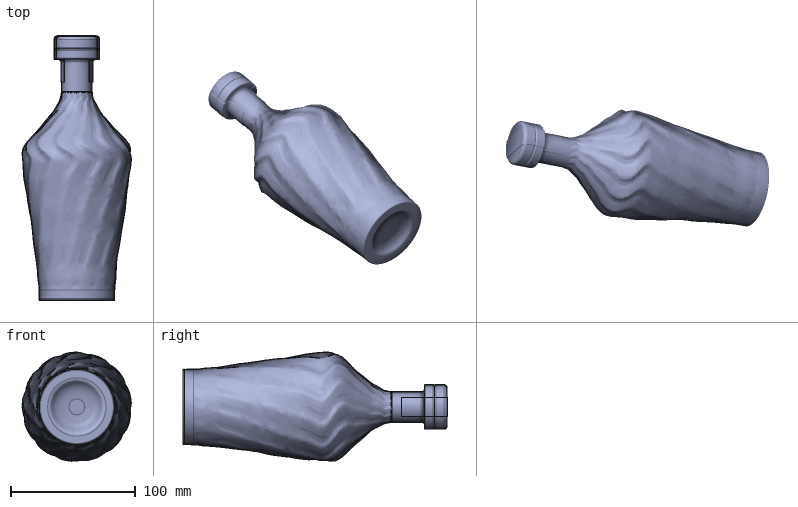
import cadquery as cq
import math


total_length = 212.5
strip_thickness = 0.53

cap_radius = 35.7 / 2
cap_top = total_length - strip_thickness
cap_bottom = 201.8
cap_top_fillet = 2.5
cap_bottom_fillet = 1.3

lip_radius = cap_radius
lip_height = 8.0
lip_top = cap_bottom
lip_bottom = lip_top - lip_height
lip_top_fillet = 1.0
lip_bottom_fillet = 0.8
neck_radius = 12.3
neck_fillet = 2.1
neck_bottom = 167.8

strip_width = 15.0
strip_end = 175.5

join_tolerance = 0.001
flute_count = 13
samples_per_flute = 6
flute_lean = 0.25

foot_radius = 29.3
foot_round_radius = 30.2
foot_round_height = 1.3
foot_top_radius = 30.4
foot_top = 8.5

stations = [
    (foot_top, foot_top_radius, 0.0, -46),
    (14.9, 30.8, 0.2, -43),
    (27.6, 31.6, 0.5, -37),
    (40.4, 33.3, 0.53, -31),
    (53.0, 35.0, 0.53, -25),
    (65.8, 37.0, 0.6, -19.5),
    (78.5, 38.9, 0.6, -14),
    (91.3, 40.5, 0.75, -8.5),
    (103.0, 42.0, 0.8, -2),
    (113.0, 43.0, 0.8, 3),
    (118.5, 43.0, 0.8, -5),
    (124.0, 41.5, 1.0, -15),
    (128.5, 38.5, 1.0, -19),
    (136.0, 31.5, 0.8, -16),
    (142.5, 26.0, 0.6, -11),
    (148.7, 20.5, 0.53, -4),
    (155.3, 16.4, 0.5, 4),
    (160.4, 13.5, 0.32, 14),
    (164.6, 12.5, 0.2, 18),
    (neck_bottom, neck_radius, 0.0, 20),
]

punt_rim_radius = 23.4
punt_wall_radius = 19.1
punt_wall_depth = 3.0
punt_dome_radius = 14.2
punt_dome_depth = 6.4
punt_flat_radius = 6.4
punt_depth = 7.2


def revolve_about_y(outline):
    return outline.close().revolve(360, (0, 0, 0), (0, 1, 0))


def corner_arc(outline, center, radius, start_degrees, end_degrees):
    """Continue an outline with an arc of the given center and radius."""

    def on_arc(degrees):
        angle = math.radians(degrees)
        return center[0] + radius * math.cos(angle), center[1] + radius * math.sin(angle)

    middle = on_arc((start_degrees + end_degrees) / 2)
    return outline.lineTo(*on_arc(start_degrees)).threePointArc(middle, on_arc(end_degrees))


def cap_shape(grow=0.0):
    """The stopper, with its outer surface moved outward by `grow`."""
    outline = cq.Workplane("XY").moveTo(0, cap_bottom - grow)
    low_center = (cap_radius - cap_bottom_fillet, cap_bottom + cap_bottom_fillet)
    high_center = (cap_radius - cap_top_fillet, cap_top - cap_top_fillet)
    outline = corner_arc(outline, low_center, cap_bottom_fillet + grow, -90, 0)
    outline = corner_arc(outline, high_center, cap_top_fillet + grow, 0, 90)
    return revolve_about_y(outline.lineTo(0, cap_top + grow))


def mouth_shape(bottom, grow=0.0):
    """Neck and lip above `bottom`, with the outer surface moved outward by `grow`."""
    outline = cq.Workplane("XY").moveTo(0, bottom).lineTo(neck_radius + grow, bottom)
    neck_center = (neck_radius + neck_fillet, lip_bottom - neck_fillet)
    low_center = (lip_radius - lip_bottom_fillet, lip_bottom + lip_bottom_fillet)
    high_center = (lip_radius - lip_top_fillet, lip_top - lip_top_fillet)
    outline = corner_arc(outline, neck_center, neck_fillet - grow, 180, 90)
    outline = corner_arc(outline, low_center, lip_bottom_fillet + grow, -90, 0)
    outline = corner_arc(outline, high_center, lip_top_fillet + grow, 0, 90)
    return revolve_about_y(outline.lineTo(0, lip_top + grow))


def fluted_section(height, mean_radius, flute_depth, swirl):
    """Closed wavy wire across the bottle; each flute rises steeply and falls gently."""
    count = flute_count * samples_per_flute
    points = []
    for i in range(count):
        angle = 2 * math.pi * i / count
        phase = flute_count * angle
        radius = mean_radius + flute_depth * (math.cos(phase) - flute_lean * math.sin(2 * phase))
        turned = angle + math.radians(swirl)
        points.append(cq.Vector(radius * math.sin(turned), height, radius * math.cos(turned)))
    return cq.Wire.assembleEdges([cq.Edge.makeSpline(points, periodic=True)])


def foot_shape():
    """Foot with a rounded rim, hollowed below by a curved wall rising to a shallow dome."""
    outline = (
        cq.Workplane("XY")
        .moveTo(0, punt_depth)
        .lineTo(punt_flat_radius, punt_depth)
        .spline(
            [
                (punt_dome_radius, punt_dome_depth),
                (punt_wall_radius, punt_wall_depth),
                (punt_rim_radius, 0),
            ],
            tangents=[(1, 0), (1, 0)],
            includeCurrent=True,
        )
        .lineTo(foot_radius, 0)
        .tangentArcPoint((foot_round_radius, foot_round_height), relative=False)
        .lineTo(foot_top_radius, foot_top)
        .lineTo(0, foot_top)
    )
    return revolve_about_y(outline)


def make_bottle():
    """Foot, swirled body and mouth, joined edge to edge into one closed skin and filled."""
    foot_skin = foot_shape().faces("not >Y").vals()
    mouth_skin = mouth_shape(neck_bottom).faces("not <Y").vals()
    sections = [fluted_section(*station) for station in stations]
    body_skin = cq.occ_impl.shapes.loft(*sections, compat=False, parametrization="chordal")
    skin = cq.occ_impl.shapes.shell(*foot_skin, body_skin, *mouth_skin, tol=join_tolerance)
    return cq.Workplane(cq.occ_impl.shapes.solid(skin))


def make_strip():
    """One band of even thickness that follows the stopper, the lip and the neck."""
    skin = cap_shape(strip_thickness).union(mouth_shape(strip_end, strip_thickness))
    skin = skin.cut(cap_shape()).cut(mouth_shape(neck_bottom))
    band = cq.Workplane("XY").box(4 * cap_radius, 2 * total_length, strip_width)
    return skin.intersect(band)


bottle = make_bottle()
stopper = cap_shape()
strip = make_strip()

result = cq.Compound.makeCompound([bottle.val(), stopper.val(), *strip.solids().vals()])